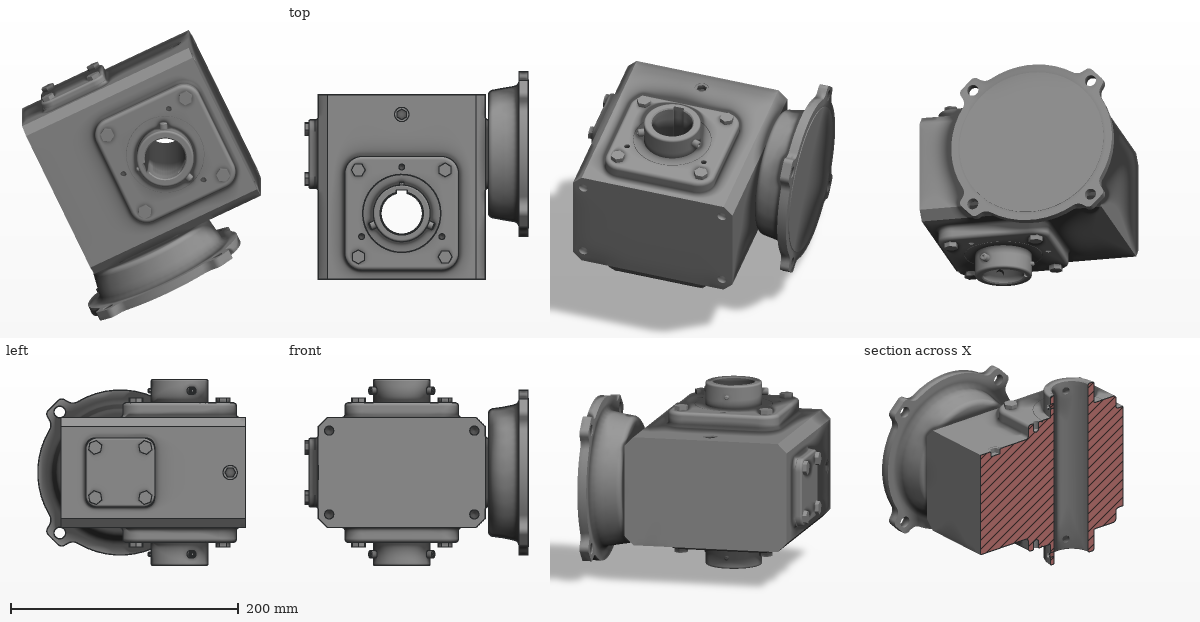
import cadquery as cq
import math


HEX_FLAT_RATIO = math.cos(math.radians(30))
TOLERANCE = 0.02

HOUSING_LENGTH = 146.7
HOUSING_Y_MIN = -58.0
HOUSING_Y_MAX = 104.2
HOUSING_HEIGHT = 96.7
HOUSING_CHAMFER = 8.0
SIDE_X = HOUSING_LENGTH / 2
TOP_Z = HOUSING_HEIGHT / 2

MOUNT_HOLE_X = 63.7
MOUNT_HOLE_Z = 36.8
MOUNT_HOLE_DIAMETER = 8.0
MOUNT_HOLE_DEPTH = 9.8
DRILL_POINT_ANGLE = 118.0

PLUG_DIAMETER = 12.5
PLUG_RECESS = 0.4
PLUG_SOCKET_FLATS = 8.0
PLUG_SOCKET_DEPTH = 5.0
TOP_PLUG_Y = 86.9
SIDE_PLUG_Y = -44.5

COVER_SIDE = 99.9
COVER_CORNER = 15.0
COVER_HEIGHT = 13.0
COVER_EDGE_FILLET = 3.1
COVER_FOOT_FILLET = 2.5
COVER_BOLT_OFFSET = 38.1
COVER_Z = TOP_Z + COVER_HEIGHT
SEAL_GROOVE_DIAMETER = 68.8
SEAL_GROOVE_WIDTH = 0.4
SEAL_GROOVE_DEPTH = 1.0
TAPPED_HOLE_CIRCLE = 40.7
TAPPED_HOLE_DIAMETER = 5.1
TAPPED_HOLE_DEPTH = 7.9
TAPPED_HOLE_ANGLES = (90, 210, 330)

BOLT_FLATS = 10.6
BOLT_DIAMETER = BOLT_FLATS / HEX_FLAT_RATIO
COVER_BOLT_HEIGHT = 4.1
END_BOLT_HEIGHT = 3.5
FLAT_TURN = 30
CORNER_TURN = 0
END_BOLT_TILT = 10

HUB_HEIGHT = 163.5
HUB_DIAMETER = 50.0
HUB_EDGE_FILLET = 1.8
BORE_DIAMETER = 36.2
BORE_CHAMFER = 1.0
KEYWAY_WIDTH = 9.5
KEYWAY_FLOOR = 20.5

KEY_SCREW_DIAMETER = 4.0
SIDE_SCREW_DIAMETER = 6.7
SCREW_LENGTH = 7.3
SCREW_CHAMFER = 0.8
SCREW_SOCKET_RATIO = 0.4
SCREW_SOCKET_DEPTH = 2.4
SCREW_Z = 71.8
KEY_SCREW_TIP = KEYWAY_FLOOR + SCREW_LENGTH
SIDE_SCREW_TIP = 30.5
SCREWS = (
    (90, KEY_SCREW_TIP, KEY_SCREW_DIAMETER),
    (202.5, SIDE_SCREW_TIP, SIDE_SCREW_DIAMETER),
    (337.5, SIDE_SCREW_TIP, SIDE_SCREW_DIAMETER),
)

WORM_Y = 52.1
PAD_SIDE = 60.5
PAD_CORNER = 8.0
PAD_HEIGHT = 2.8
PAD_FOOT_FILLET = 2.4
END_COVER_CORNER = 10.0
END_COVER_THICKNESS = 5.5
END_COVER_FILLET = 2.0
END_BOLT_OFFSET = 22.0
PAD_X = SIDE_X + PAD_HEIGHT

BELL_BACK_RADIUS = 55.5
BELL_FRONT_RADIUS = 60.2
BELL_BACK_FILLET = 4.7
BELL_FLARE_FILLET = 4.7
FLANGE_BACK_X = 102.8
FLANGE_THICKNESS = 8.0
FLANGE_RADIUS = 72.5
PILOT_RADIUS = 65.0
PILOT_HEIGHT = 0.5
EAR_ANGLES = (45, 135, 225, 315)
EAR_TIP_RADIUS = 83.4
EAR_TIP_WIDTH = 19.3
EAR_ROOT_RADIUS = 59.0
EAR_FLARE_ANGLE = 15
EAR_TIP_FILLET = 4.7
EAR_ROOT_FILLET = 8.7
EAR_HOLE_CIRCLE = 75.1
EAR_HOLE_DIAMETER = 10.0

TOP_PLANE = cq.Plane((0, 0, TOP_Z), (1, 0, 0), (0, 0, 1))
BOTTOM_PLANE = cq.Plane((0, 0, -TOP_Z), (1, 0, 0), (0, 0, -1))
LEFT_PLANE = cq.Plane((-SIDE_X, WORM_Y, 0), (0, -1, 0), (-1, 0, 0))
RIGHT_PLANE = cq.Plane((SIDE_X, WORM_Y, 0), (0, 1, 0), (1, 0, 0))
FLANGE_PLANE = cq.Plane((FLANGE_BACK_X, WORM_Y, 0), (0, 1, 0), (1, 0, 0))


def rounded_plate(plane, offset, side, corner, height):
    """Square plate with round corners that rises from `plane` at the given offset."""
    plate = cq.Workplane(plane).workplane(offset=offset).rect(side, side).extrude(height)
    axis = plane.zDir.toTuple()
    return plate.edges(cq.selectors.ParallelDirSelector(cq.Vector(*axis))).fillet(corner)


def fillet_foot(body, plane, side, radius):
    """Round the inside corner where a square pad meets the housing face at `plane`."""
    reach = side / 2 + radius
    low = plane.toWorldCoords((-reach, -reach, -TOLERANCE))
    high = plane.toWorldCoords((reach, reach, TOLERANCE))
    foot = cq.selectors.BoxSelector(low.toTuple(), high.toTuple(), boundingbox=True)
    return body.edges(foot).fillet(radius)


def bolt_heads(plane, base, spacing, height, turn, alternate_turn):
    """Four hexagon heads on a square, standing on `plane` at the offset `base`."""
    heads = cq.Workplane(plane)
    for u in (-spacing, spacing):
        for v in (-spacing, spacing):
            angle = turn if u * v > 0 else alternate_turn
            head = (
                cq.Workplane(plane)
                .workplane(offset=base)
                .center(u, v)
                .transformed(rotate=(0, 0, angle))
                .polygon(6, BOLT_DIAMETER)
                .extrude(height)
            )
            heads = heads.add(head)
    return heads.combine()


def drilled_hole(diameter, depth):
    """Cutter for a blind hole down from the origin along -Z, with a conical bottom."""
    radius = diameter / 2
    point = radius / math.tan(math.radians(DRILL_POINT_ANGLE / 2))
    profile = [(0, 0), (radius, 0), (radius, -depth), (0, -depth - point)]
    return cq.Workplane("XZ").polyline(profile).close().revolve(360, (0, 0, 0), (0, 1, 0))


def placed(cutter, plane):
    """Move a shape built at the origin into the frame of `plane`."""
    return cutter.val().moved(cq.Location(plane))


def make_block():
    """Housing block with chamfered long edges."""
    depth = HOUSING_Y_MAX - HOUSING_Y_MIN
    block = cq.Workplane("XY").box(HOUSING_LENGTH, depth, HOUSING_HEIGHT)
    block = block.edges("|Y").chamfer(HOUSING_CHAMFER)
    return block.translate((0, (HOUSING_Y_MIN + HOUSING_Y_MAX) / 2, 0))


def cut_mount_holes(body):
    """Drill the four blind mounting holes."""
    hole = drilled_hole(MOUNT_HOLE_DIAMETER, MOUNT_HOLE_DEPTH)
    for x in (-MOUNT_HOLE_X, MOUNT_HOLE_X):
        for z in (-MOUNT_HOLE_Z, MOUNT_HOLE_Z):
            mouth = cq.Plane((x, HOUSING_Y_MIN, z), (1, 0, 0), (0, -1, 0))
            body = body.cut(placed(hole, mouth))
    return body


def cut_plugs(body):
    """Sink the two plug faces and their hexagon sockets."""
    top = cq.Plane((0, TOP_PLUG_Y, TOP_Z), (0, 1, 0), (0, 0, 1))
    side = cq.Plane((-SIDE_X, SIDE_PLUG_Y, 0), (0, -1, 0), (-1, 0, 0))
    socket_diameter = PLUG_SOCKET_FLATS / HEX_FLAT_RATIO
    for plane in (top, side):
        recess = cq.Workplane(plane).circle(PLUG_DIAMETER / 2).extrude(-PLUG_RECESS)
        socket = cq.Workplane(plane).polygon(6, socket_diameter).extrude(-PLUG_SOCKET_DEPTH)
        body = body.cut(recess).cut(socket)
    return body


def add_output_cover(body, plane, bolt_turn, alternate_bolt_turn):
    """Add a cover with its seal groove, tapped holes and bolt heads."""
    cover = rounded_plate(plane, 0, COVER_SIDE, COVER_CORNER, COVER_HEIGHT)
    outer_face = cq.selectors.DirectionMinMaxSelector(plane.zDir)
    cover = cover.faces(outer_face).edges().fillet(COVER_EDGE_FILLET)
    body = fillet_foot(body.union(cover), plane, COVER_SIDE, COVER_FOOT_FILLET)

    groove = cq.Workplane(plane).workplane(offset=COVER_HEIGHT)
    outer_radius = SEAL_GROOVE_DIAMETER / 2
    groove = groove.circle(outer_radius).circle(outer_radius - SEAL_GROOVE_WIDTH)
    body = body.cut(groove.extrude(-SEAL_GROOVE_DEPTH))
    hole = drilled_hole(TAPPED_HOLE_DIAMETER, TAPPED_HOLE_DEPTH)
    for angle in TAPPED_HOLE_ANGLES:
        x = TAPPED_HOLE_CIRCLE * math.cos(math.radians(angle))
        y = TAPPED_HOLE_CIRCLE * math.sin(math.radians(angle))
        mouth = cq.Plane((x, y, plane.zDir.z * COVER_Z), (1, 0, 0), plane.zDir.toTuple())
        body = body.cut(placed(hole, mouth))
    turns = (bolt_turn, alternate_bolt_turn)
    return body.union(bolt_heads(plane, COVER_HEIGHT, COVER_BOLT_OFFSET, COVER_BOLT_HEIGHT, *turns))


def add_side_pad(body, plane):
    """Add a low square pad around the worm axis."""
    pad = rounded_plate(plane, 0, PAD_SIDE, PAD_CORNER, PAD_HEIGHT)
    return fillet_foot(body.union(pad), plane, PAD_SIDE, PAD_FOOT_FILLET)


def add_end_cover(body):
    """Add the bolted cover plate that closes the -X end of the worm axis."""
    cover = rounded_plate(LEFT_PLANE, PAD_HEIGHT, PAD_SIDE, END_COVER_CORNER, END_COVER_THICKNESS)
    cover = cover.faces("<X").edges().fillet(END_COVER_FILLET)
    base = PAD_HEIGHT + END_COVER_THICKNESS
    turn = FLAT_TURN + END_BOLT_TILT
    alternate_turn = FLAT_TURN - END_BOLT_TILT
    heads = bolt_heads(LEFT_PLANE, base, END_BOLT_OFFSET, END_BOLT_HEIGHT, turn, alternate_turn)
    return body.union(cover).union(heads)


def make_flange_plate():
    """Round plate with four drilled ears and a raised pilot on its outer side."""
    flare = (EAR_TIP_RADIUS - EAR_ROOT_RADIUS) * math.tan(math.radians(EAR_FLARE_ANGLE))
    tip = EAR_TIP_WIDTH / 2
    root = tip + flare
    outline = [
        (EAR_ROOT_RADIUS, -root),
        (EAR_TIP_RADIUS, -tip),
        (EAR_TIP_RADIUS, tip),
        (EAR_ROOT_RADIUS, root),
    ]
    ear = cq.Workplane(FLANGE_PLANE).polyline(outline).close().extrude(FLANGE_THICKNESS)
    ear = ear.faces(">Y").edges("|X").fillet(EAR_TIP_FILLET)
    hole = cq.Workplane(FLANGE_PLANE).center(EAR_HOLE_CIRCLE, 0).circle(EAR_HOLE_DIAMETER / 2)
    hole = hole.extrude(FLANGE_THICKNESS)

    plate = cq.Workplane(FLANGE_PLANE).circle(FLANGE_RADIUS).extrude(FLANGE_THICKNESS)
    axis_start = (0, WORM_Y, 0)
    axis_end = (1, WORM_Y, 0)
    for angle in EAR_ANGLES:
        plate = plate.union(ear.rotate(axis_start, axis_end, angle))

    def is_ear_root(edge):
        y = edge.Center().y - WORM_Y
        z = edge.Center().z
        on_disc = abs(math.hypot(y, z) - FLANGE_RADIUS) < TOLERANCE
        return on_disc and min(abs(y), abs(z)) > EAR_TIP_WIDTH

    plate = plate.edges("|X").filter(is_ear_root).fillet(EAR_ROOT_FILLET)
    for angle in EAR_ANGLES:
        plate = plate.cut(hole.rotate(axis_start, axis_end, angle))
    pilot = cq.Workplane(FLANGE_PLANE).workplane(offset=FLANGE_THICKNESS)
    return plate.union(pilot.circle(PILOT_RADIUS).extrude(PILOT_HEIGHT))


def make_motor_flange():
    """Conical bell that widens into the flange plate."""
    profile = [
        (PAD_X, 0),
        (PAD_X, BELL_BACK_RADIUS),
        (FLANGE_BACK_X, BELL_FRONT_RADIUS),
        (FLANGE_BACK_X, 0),
    ]
    bell = cq.Workplane("XY").polyline(profile).close().revolve(360, (0, 0, 0), (1, 0, 0))
    bell = bell.faces("<X").edges().fillet(BELL_BACK_FILLET).translate((0, WORM_Y, 0))
    flange = bell.union(make_flange_plate())

    def is_bell_junction(edge):
        is_circle = edge.geomType() == "CIRCLE"
        return is_circle and abs(edge.radius() - BELL_FRONT_RADIUS) < TOLERANCE

    return flange.edges().filter(is_bell_junction).fillet(BELL_FLARE_FILLET)


def screw_plane(angle, tip, end):
    """Plane at the outer tip of a set screw, facing away from the hub."""
    direction = (math.cos(math.radians(angle)), math.sin(math.radians(angle)), 0)
    origin = (tip * direction[0], tip * direction[1], end * SCREW_Z)
    return cq.Plane(origin, (0, 0, 1), direction)


def add_hub(body):
    """Add the hollow hub with its bore, keyway and set screw holes."""
    hub = cq.Workplane("XY").circle(HUB_DIAMETER / 2).extrude(HUB_HEIGHT / 2, both=True)
    hub = hub.faces("<Z or >Z").edges().fillet(HUB_EDGE_FILLET)
    bore = cq.Workplane("XY").circle(BORE_DIAMETER / 2).extrude(HUB_HEIGHT, both=True)
    body = body.union(hub).cut(bore)
    body = body.faces("<Z or >Z").edges("%CIRCLE").edges(cq.selectors.RadiusNthSelector(0))
    body = body.chamfer(BORE_CHAMFER)

    keyway = cq.Workplane("XY").box(KEYWAY_WIDTH, KEYWAY_FLOOR, HUB_HEIGHT)
    keyway = keyway.translate((0, KEYWAY_FLOOR / 2, 0))
    body = body.cut(keyway)

    for end in (-1, 1):
        for angle, tip, diameter in SCREWS:
            hole = cq.Workplane(screw_plane(angle, tip, end)).circle(diameter / 2)
            body = body.cut(hole.extrude(-tip))
    return body


def make_reducer():
    """The reducer without its set screws, as one solid."""
    body = make_block()
    body = add_output_cover(body, TOP_PLANE, FLAT_TURN, CORNER_TURN)
    body = add_output_cover(body, BOTTOM_PLANE, CORNER_TURN, FLAT_TURN)
    body = add_side_pad(body, LEFT_PLANE)
    body = add_side_pad(body, RIGHT_PLANE)
    body = add_end_cover(body)
    body = body.union(make_motor_flange())
    body = cut_mount_holes(body)
    body = cut_plugs(body)
    return add_hub(body)


def make_set_screw(angle, tip, diameter, end):
    """Set screw with a chamfered tip and a hexagon socket."""
    plane = screw_plane(angle, tip, end)
    screw = cq.Workplane(plane).circle(diameter / 2).extrude(-SCREW_LENGTH)
    outer_end = cq.selectors.DirectionMinMaxSelector(plane.zDir)
    screw = screw.faces(outer_end).edges().chamfer(SCREW_CHAMFER)
    socket_diameter = SCREW_SOCKET_RATIO * diameter / HEX_FLAT_RATIO
    socket = cq.Workplane(plane).polygon(6, socket_diameter).extrude(-SCREW_SOCKET_DEPTH)
    return screw.cut(socket)


reducer = make_reducer()
set_screws = [make_set_screw(*screw, end) for end in (-1, 1) for screw in SCREWS]
result = cq.Compound.makeCompound([reducer.val(), *[screw.val() for screw in set_screws]])